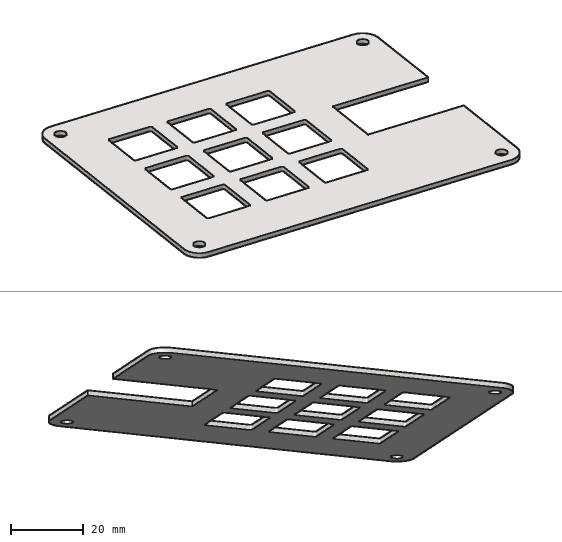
import cadquery as cq

plate_width = 82.66
plate_length = 107.88
plate_thickness = 1.5
corner_radius = 5.0

screw_hole_diameter = 3.4
screw_hole_inset = corner_radius

key_count = 3
key_pitch = 19.05
key_opening = 14.0
key_corner_radius = 0.5
first_key_from_left = 21.5
first_key_from_bottom = 21.5

notch_width = 18.5
notch_depth = 31.0

left_edge = -plate_width / 2
bottom_edge = -plate_length / 2
top_edge = plate_length / 2
grid_half_span = (key_count - 1) * key_pitch / 2
grid_center_x = left_edge + first_key_from_left + grid_half_span
grid_center_y = bottom_edge + first_key_from_bottom + grid_half_span


def make_plate():
    """Flat plate with rounded corners."""
    blank = cq.Workplane("XY").rect(plate_width, plate_length).extrude(plate_thickness)
    return blank.edges("|Z").fillet(corner_radius)


def make_screw_holes():
    """Cutters for one through hole at each corner."""
    spacing_x = plate_width - 2 * screw_hole_inset
    spacing_y = plate_length - 2 * screw_hole_inset
    corners = cq.Workplane("XY").rect(spacing_x, spacing_y, forConstruction=True).vertices()
    return corners.circle(screw_hole_diameter / 2).extrude(plate_thickness)


def make_key_openings():
    """Cutters for the grid of square openings with slightly rounded corners."""
    grid = cq.Workplane("XY").center(grid_center_x, grid_center_y)
    grid = grid.rarray(key_pitch, key_pitch, key_count, key_count)
    openings = grid.rect(key_opening, key_opening).extrude(plate_thickness)
    return openings.edges("|Z").fillet(key_corner_radius)


def make_notch():
    """Cutter for the rectangular notch, running in from the rear edge."""
    notch = cq.Workplane("XY").center(grid_center_x, top_edge - notch_depth / 2)
    return notch.rect(notch_width, notch_depth).extrude(plate_thickness)


result = make_plate().cut(make_screw_holes()).cut(make_key_openings()).cut(make_notch())